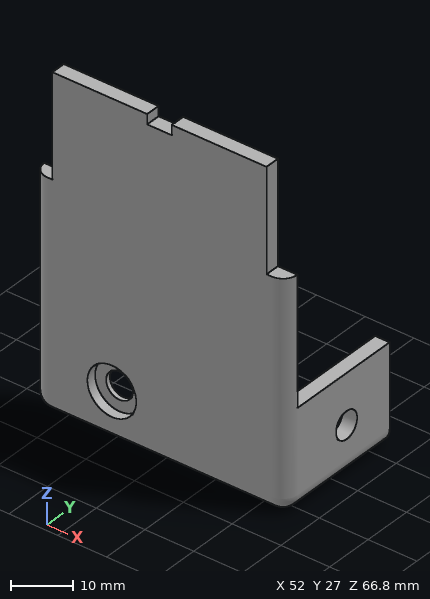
import cadquery as cq

width = 52.0
depth = 27.0
height = 66.8
thickness = 3.0

shoulder_inset = 4.0
shoulder_height = 45.9
notch_width = 5.0
notch_depth = 2.0

tab_height = 20.0

hole_diameter = 5.5
counterbore_diameter = 10.0
counterbore_depth = 2.0
hole_height = 9.8
plate_hole_x = 16.2
tab_hole_y = 15.75


def box(x, y, z, size_x, size_y, size_z):
    """Box with its lowest corner at (x, y, z)."""
    return cq.Workplane("XY").box(size_x, size_y, size_z, centered=False).translate((x, y, z))


def make_rounded_blank():
    """Block whose front, side and bottom edges blend with a radius of one thickness."""
    blank = box(0, 0, 0, width, depth, shoulder_height)
    rounded_edges = blank.edges("(|Y and <Z) or (<Y and (not >Z))")
    return rounded_edges.fillet(thickness)


def make_plate(blank):
    """Front layer of the blank with the narrow upper section and its notch."""
    lower = blank.intersect(box(0, 0, 0, width, thickness, shoulder_height))
    upper_width = width - 2 * shoulder_inset
    upper = box(shoulder_inset, 0, shoulder_height, upper_width, thickness, height - shoulder_height)
    notch = box((width - notch_width) / 2, 0, height - notch_depth, notch_width, thickness, notch_depth)
    return lower.union(upper).cut(notch)


def make_tab(blank):
    """Tab behind the plate, flush with its +X side and sharing its rounded corner."""
    return blank.intersect(box(width - thickness, thickness, 0, thickness, depth - thickness, tab_height))


def cylinder_along_y(diameter, length):
    """Cylinder on the plate hole axis, starting at the front face."""
    center = cq.Vector(plate_hole_x, 0, hole_height)
    return cq.Workplane(cq.Solid.makeCylinder(diameter / 2, length, center, cq.Vector(0, 1, 0)))


def make_tab_hole():
    """Through hole across the tab."""
    start = cq.Vector(width - thickness, tab_hole_y, hole_height)
    return cq.Workplane(cq.Solid.makeCylinder(hole_diameter / 2, thickness, start, cq.Vector(1, 0, 0)))


blank = make_rounded_blank()
result = make_plate(blank).union(make_tab(blank))
result = result.cut(cylinder_along_y(hole_diameter, thickness))
result = result.cut(cylinder_along_y(counterbore_diameter, counterbore_depth))
result = result.cut(make_tab_hole())